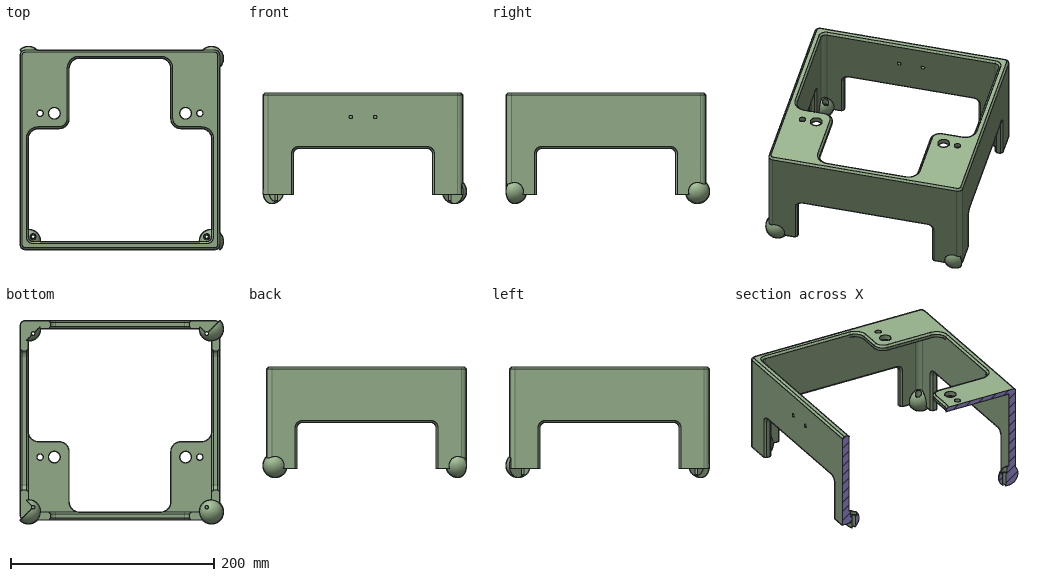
import cadquery as cq
import math

envelope = 200.5
height = 109.0
z_bottom = -height / 2
z_top = height / 2

foot_radius = 12
foot_inset = 8.2
foot_hole_inset = 12.8
foot_hole_diameter = 3.5
foot_counterbore_diameter = 6
foot_counterbore_depth = 8
z_foot_center = z_bottom + foot_radius

bulge = foot_radius - foot_inset
trimmed_bulge = foot_radius / math.sqrt(2) - foot_inset

frame_side = envelope - bulge - trimmed_bulge
frame_height = 100.2
wall = 8
shelf_thickness = 5.0
outer_radius = 5.0
inner_radius = 5.0
edge_chamfer = 2
frame_half = frame_side / 2
inner_half = frame_half - wall
frame_center = (trimmed_bulge - bulge) / 2
z_leg_bottom = z_top - frame_height

narrow_half = 50.0
step_y = 20.8
opening_radius = 10

leg_width = 29.9
cutout_height = 45.3
cutout_radius = 5.0
cutout_half = frame_half - leg_width
wall_count = 4
quarter_turn = 90
selection_margin = 0.2

shelf_hole_y = 36
large_hole_diameter = 11.2
large_hole_x = 64.5
small_hole_diameter = 6
small_hole_x = 78.5

pin_hole_diameter = 3.5
pin_hole_x = 12
pin_hole_drop = 23.9


def level(z):
    """Horizontal workplane at height z, centred on the frame."""
    return cq.Workplane("XY", origin=(frame_center, frame_center, z))


def corner_points(inset):
    """Four points set in from the outer walls, relative to the frame centre."""
    reach = frame_half - inset
    return [(x, y) for x in (-reach, reach) for y in (-reach, reach)]


def rounded_square(side, radius, z, tall):
    """Upright square block with rounded vertical edges."""
    return level(z).rect(side, side).extrude(tall).edges("|Z").fillet(radius)


def make_cavity():
    """Space enclosed by the walls, below the top."""
    return rounded_square(2 * inner_half, inner_radius, z_leg_bottom, frame_height - shelf_thickness)


def make_shell():
    """Box open at the bottom, with a chamfered top edge."""
    block = rounded_square(frame_side, outer_radius, z_leg_bottom, frame_height)
    block = block.faces(">Z").chamfer(edge_chamfer)
    return block.cut(make_cavity())


def cut_opening(body):
    """T-shaped opening through the top, chamfered along its upper rim."""
    front_depth = step_y + inner_half
    front = (
        level(z_top - shelf_thickness)
        .center(0, step_y - front_depth / 2)
        .rect(2 * inner_half, front_depth)
        .extrude(shelf_thickness)
        .edges("|Z and <Y")
        .fillet(inner_radius)
    )
    rear = level(z_top - shelf_thickness).rect(2 * narrow_half, 2 * inner_half).extrude(shelf_thickness)
    opening = front.union(rear)
    step_box = cq.selectors.BoxSelector(
        (-envelope, 0, z_bottom),
        (envelope, envelope, z_top),
    )
    opening = opening.edges(step_box).edges("|Z").fillet(opening_radius)
    body = body.cut(opening)
    rim = body.faces(">Z").val().innerWires()[0]
    return body.newObject(rim.Edges()).chamfer(edge_chamfer)


def make_cutout():
    """Leg cutter running along Y through both opposite walls."""
    return (
        level(z_leg_bottom)
        .box(2 * cutout_half, frame_side, cutout_height, centered=(True, True, False))
        .edges("|Y and >Z")
        .fillet(cutout_radius)
    )


def turned(body, angle):
    """Copy turned about the vertical axis of the frame."""
    return body.rotate((frame_center, frame_center, 0), (frame_center, frame_center, 1), angle)


def cutout_rim_box(y):
    """Selects the edges of a leg cutout that lie in the wall face at y."""
    reach = cutout_half + selection_margin
    low = (frame_center - reach, y - selection_margin, z_leg_bottom + selection_margin)
    high = (frame_center + reach, y + selection_margin, z_leg_bottom + cutout_height + selection_margin)
    return cq.selectors.BoxSelector(low, high)


def cut_legs(body):
    """Cut between the legs on all four sides and chamfer the cut edges inside and out."""
    for angle in (0, quarter_turn):
        body = body.cut(turned(make_cutout(), angle))
    for _ in range(wall_count):
        for wall_face in (frame_half, inner_half):
            body = body.edges(cutout_rim_box(frame_center - wall_face)).chamfer(edge_chamfer)
        body = turned(body, quarter_turn)
    return body


def drill_shelves(body):
    """One large and one small hole through each shelf."""
    for side in (-1, 1):
        for x, diameter in ((large_hole_x, large_hole_diameter), (small_hole_x, small_hole_diameter)):
            drill = level(z_top).center(side * x, shelf_hole_y).circle(diameter / 2).extrude(-shelf_thickness)
            body = body.cut(drill)
    return body


def drill_front_wall(body):
    """Two pin holes through the -Y wall."""
    pins = (
        cq.Workplane("XZ", origin=(frame_center, frame_center - frame_half, z_top - pin_hole_drop))
        .pushPoints([(-pin_hole_x, 0), (pin_hole_x, 0)])
        .circle(pin_hole_diameter / 2)
        .extrude(-wall)
    )
    return body.cut(pins)


def make_foot_trim():
    """Quarter wedges opening toward -X and -Y from each foot hole, sparing the inside of the frame."""
    reach = 2 * foot_radius
    toward_x = [(0, 0), (-reach, reach), (-reach, -reach)]
    toward_y = [(0, 0), (-reach, -reach), (reach, -reach)]
    trims = cq.Workplane()
    for x, y in corner_points(foot_hole_inset):
        if x < 0:
            trims = trims.add(level(z_bottom).center(x, y).polyline(toward_x).close().extrude(reach))
        if y < 0:
            trims = trims.add(level(z_bottom).center(x, y).polyline(toward_y).close().extrude(reach))
    return trims.combine().cut(make_cavity())


def add_feet(body):
    """Ball foot in each corner, drilled and counterbored from above."""
    balls = level(z_foot_center).pushPoints(corner_points(foot_inset)).sphere(foot_radius)
    body = body.union(balls.cut(make_foot_trim()))
    hole_points = corner_points(foot_hole_inset)
    hole = level(z_bottom).pushPoints(hole_points).circle(foot_hole_diameter / 2).extrude(2 * foot_radius)
    counterbore = (
        level(z_foot_center + foot_radius - foot_counterbore_depth)
        .pushPoints(hole_points)
        .circle(foot_counterbore_diameter / 2)
        .extrude(foot_counterbore_depth)
    )
    return body.cut(hole).cut(counterbore)


frame = cut_legs(cut_opening(make_shell()))
frame = drill_front_wall(drill_shelves(frame))
result = add_feet(frame)